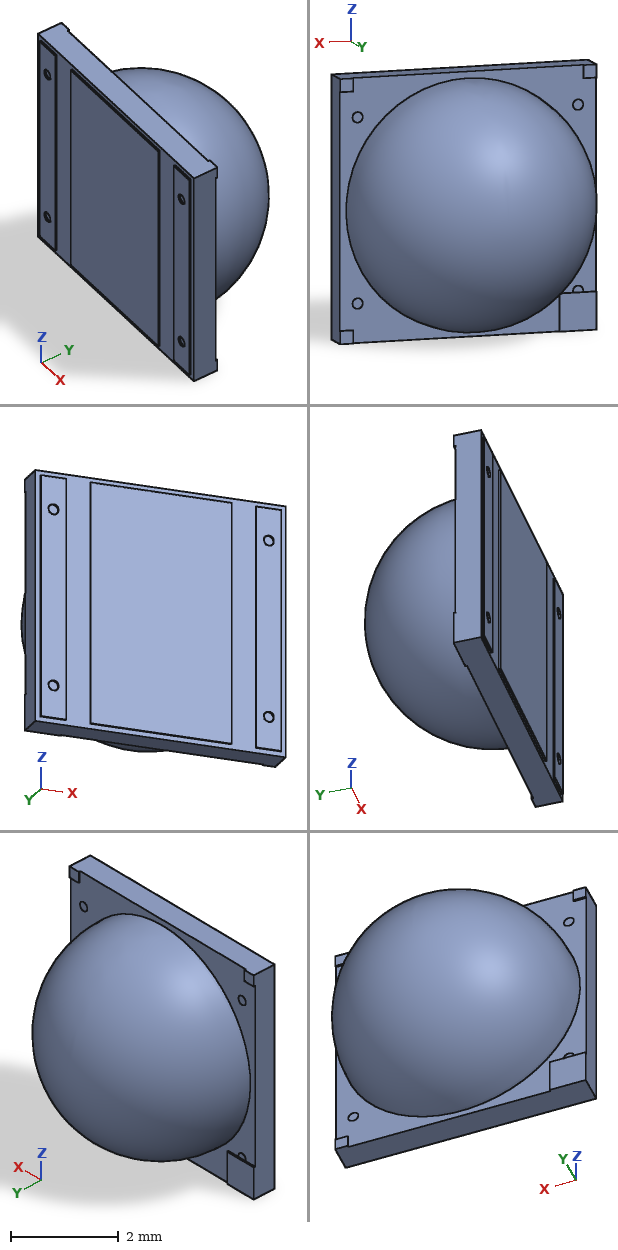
import cadquery as cq


plate_side = 5.0
half_side = plate_side / 2
plate_thickness = 0.5
corner_height = 0.035
small_corner = 0.25
marker_corner = 0.72

pad_thickness = 0.035
pad_margin = 0.1
pad_length = plate_side - 2 * pad_margin
side_pad_width = 0.5
center_pad_width = 2.81
side_pad_x = half_side - pad_margin - side_pad_width / 2

via_diameter = 0.2
via_z = 1.755

lens_radius = 2.375
lens_rim_height = 0.07


def block(x, z, width, height, y_start, y_end):
    """Box centred on (x, z), reaching from y_start to y_end."""
    depth = y_end - y_start
    return cq.Workplane("XY").box(width, depth, height).translate((x, y_start + depth / 2, z))


def rod(x, z, y_start, y_end):
    """Cylinder of the via diameter along Y, reaching from y_start to y_end."""
    return cq.Workplane("XZ", origin=(x, y_start, z)).circle(via_diameter / 2).extrude(y_start - y_end)


def raised_corner(x_side, z_side, size):
    """Square block on the lens side of the plate, flush with two of its edges."""
    offset = half_side - size / 2
    top = plate_thickness + corner_height
    return block(x_side * offset, z_side * offset, size, size, plate_thickness, top)


def make_via(x_side, z_side):
    return rod(x_side * side_pad_x, z_side * via_z, 0, plate_thickness)


def make_substrate():
    plate = block(0, 0, plate_side, plate_side, 0, plate_thickness)
    for x_side in (-1, 1):
        for z_side in (-1, 1):
            is_marker = x_side < 0 and z_side < 0
            size = marker_corner if is_marker else small_corner
            plate = plate.union(raised_corner(x_side, z_side, size))
            plate = plate.cut(make_via(x_side, z_side))
    return plate


def make_side_pad(x_side):
    x = x_side * side_pad_x
    pad = block(x, 0, side_pad_width, pad_length, -pad_thickness, 0)
    for z_side in (-1, 1):
        pad = pad.cut(rod(x, z_side * via_z, -pad_thickness, 0))
    return pad


def make_center_pad():
    return block(0, 0, center_pad_width, pad_length, -pad_thickness, 0)


def make_lens():
    rim_top = plate_thickness + lens_rim_height
    half_section = (
        cq.Workplane("YZ")
        .moveTo(plate_thickness, 0)
        .lineTo(plate_thickness, lens_radius)
        .lineTo(rim_top, lens_radius)
        .radiusArc((rim_top + lens_radius, 0), lens_radius)
        .close()
    )
    return half_section.revolve(360, (0, 0, 0), (1, 0, 0))


substrate = make_substrate()
lens = make_lens()
center_pad = make_center_pad()
side_pads = [make_side_pad(x_side) for x_side in (-1, 1)]
vias = [make_via(x_side, z_side) for x_side in (-1, 1) for z_side in (-1, 1)]

result = cq.Compound.makeCompound(
    [
        substrate.val(),
        lens.val(),
        center_pad.val(),
        *[pad.val() for pad in side_pads],
        *[via.val() for via in vias],
    ]
)